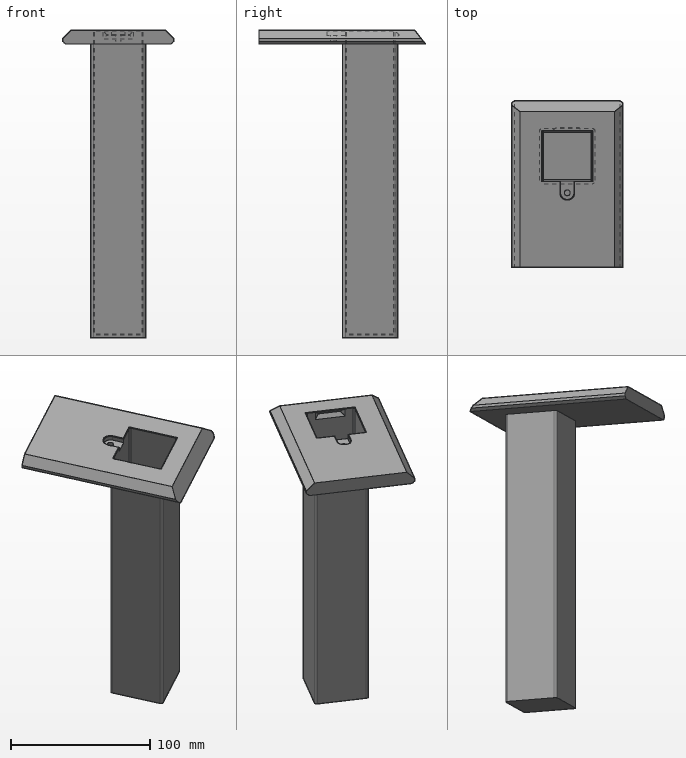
import cadquery as cq

total_height = 221.25
plate_thickness = 10.0
plate_width = 80.0
plate_length = 119.86
plate_front_y = -60.0
plate_back_y = plate_front_y + plate_length
plate_bottom_z = total_height - plate_thickness

top_bevel = 6.0
bottom_bevel = 2.0
back_slope_run = 7.86

tube_size = 39.8
tube_edge_radius = 2.0
tube_center_y = 20.0
wall = 2.0
cavity_size = tube_size - 2 * wall
cavity_edge_bevel = 1.0

rim_bevel = 0.5
taper_angle = 45.0

notch_width = 22.0
notch_height = 6.0
notch_depth = 2.8
notch_top_z = total_height - rim_bevel

recess_radius = 4.8
recess_depth = 3.75
screw_y = -6.4
screw_hole_diameter = 4.2
screw_hole_depth = 4.0


def plate():
    """Bevelled plate, extruded along Y and cut off by a sloping back face."""
    half_width = plate_width / 2
    right_side = [
        (half_width - bottom_bevel, plate_bottom_z),
        (half_width, plate_bottom_z + bottom_bevel),
        (half_width, total_height - top_bevel),
        (half_width - top_bevel, total_height),
    ]
    left_side = [(-x, z) for x, z in reversed(right_side)]
    body = (
        cq.Workplane("XZ", origin=(0, plate_front_y, 0))
        .polyline(right_side + left_side)
        .close()
        .extrude(-plate_length)
    )
    back_waste = (
        cq.Workplane("YZ")
        .polyline([
            (plate_back_y, plate_bottom_z),
            (plate_back_y, total_height),
            (plate_back_y - back_slope_run, total_height),
        ])
        .close()
        .extrude(half_width, both=True)
    )
    return body.cut(back_waste)


def tube():
    """Solid square post with rounded upright edges."""
    return (
        cq.Workplane("XY", origin=(0, tube_center_y, 0))
        .rect(tube_size, tube_size)
        .extrude(plate_bottom_z)
        .edges("|Z")
        .fillet(tube_edge_radius)
    )


def cavity():
    """Square well, open at the top, with bevelled corners and a bevelled floor edge."""
    return (
        cq.Workplane("XY", origin=(0, tube_center_y, wall))
        .rect(cavity_size, cavity_size)
        .extrude(total_height - wall)
        .edges("|Z or <Z")
        .chamfer(cavity_edge_bevel)
    )


def notch():
    """Hollow with its mouth in the back wall, narrowing toward +Y."""
    middle_z = notch_top_z - notch_height / 2
    back_wall_y = tube_center_y + cavity_size / 2
    return (
        cq.Workplane("XZ", origin=(0, back_wall_y, middle_z))
        .rect(notch_width, notch_height)
        .extrude(-notch_depth, taper=taper_angle)
    )


def bevelled_rim(outline):
    """Shallow cutter that widens upward from an outline just below the top face."""
    return outline.extrude(rim_bevel, taper=-taper_angle)


def opening_rim():
    """Bevel around the square mouth of the cavity."""
    mouth = cq.Workplane("XY", origin=(0, tube_center_y, total_height - rim_bevel))
    return bevelled_rim(mouth.rect(cavity_size, cavity_size))


def recess_outline(z):
    """Tongue-shaped outline running from the cavity to a round end about the screw."""
    return (
        cq.Workplane("XY", origin=(0, 0, z))
        .moveTo(recess_radius, tube_center_y)
        .lineTo(recess_radius, screw_y)
        .threePointArc((0, screw_y - recess_radius), (-recess_radius, screw_y))
        .lineTo(-recess_radius, tube_center_y)
        .close()
    )


def screw_recess():
    """Bevelled recess for a screw tab, with a blind screw hole in its floor."""
    floor_z = total_height - recess_depth
    pocket = recess_outline(floor_z).extrude(recess_depth)
    rim = bevelled_rim(recess_outline(total_height - rim_bevel))
    screw_hole = (
        cq.Workplane("XY", origin=(0, screw_y, floor_z))
        .circle(screw_hole_diameter / 2)
        .extrude(-screw_hole_depth)
    )
    return pocket.union(rim).union(screw_hole)


result = (
    plate()
    .union(tube())
    .cut(cavity())
    .cut(opening_rim())
    .cut(notch())
    .cut(screw_recess())
)